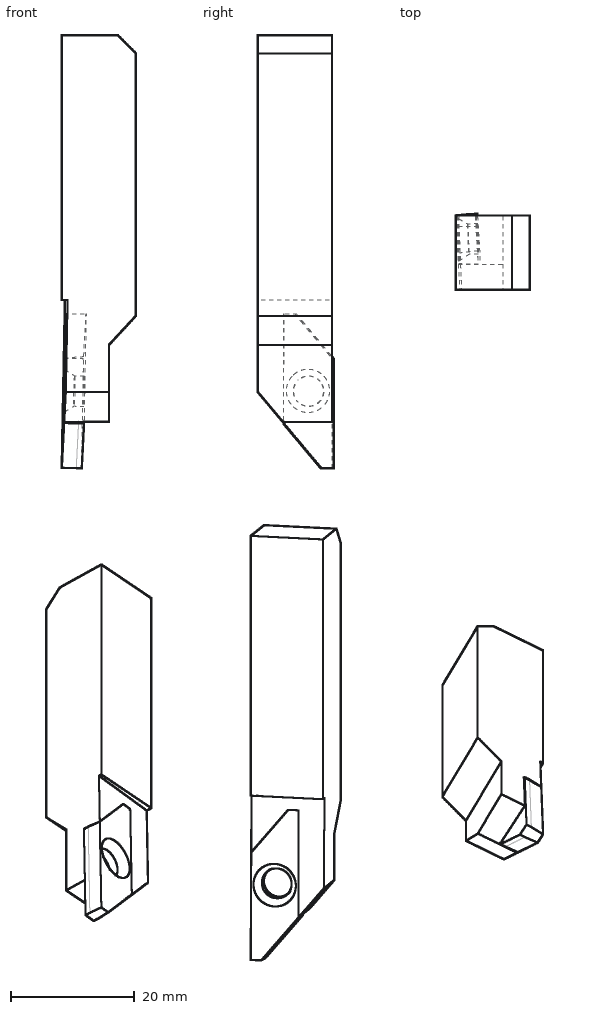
import cadquery as cq
import math

shank_size = 12.05
total_length = 70.0
top_chamfer = 2.95
head_width = 7.7
shoulder_top = 24.6
shoulder_bottom = 19.95
head_bottom = 7.5
end_slope_width = 4.05
step_height = 27.15
diagonal_angle = 50.0
diagonal_slope = math.tan(math.radians(diagonal_angle))

yaw_angle = 2.2
pitch_angle = 1.1
face_offset = 0.39

insert_half_width = 3.9
insert_half_height = 12.45
blunt_width = 1.75
insert_thickness = 3.2
flare_depth = 2.3
flare = 0.15
flare_end_gap = 0.9
insert_overhang = 0.015
insert_tip_height = 0.05
insert_center_y = shank_size - insert_half_width + insert_overhang
insert_center_z = insert_half_height + insert_tip_height

hole_diameter = 4.9
countersink_diameter = 7.0
countersink_depth = 1.7

yaw_slope = math.tan(math.radians(yaw_angle))
pitch_slope = math.tan(math.radians(pitch_angle))
face = cq.Plane(
    origin=(face_offset, insert_center_y, insert_center_z),
    xDir=(-yaw_slope, 1, 0),
    normal=(1, yaw_slope, -pitch_slope),
)


def insert_outline(growth):
    """Points of the insert outline, with flanks and diagonals moved out by growth."""
    half_width = insert_half_width + growth
    diagonal_rise = insert_half_height + (blunt_width - insert_half_width) * diagonal_slope
    diagonal_rise += growth / math.cos(math.radians(diagonal_angle))
    side_end = diagonal_rise - half_width * diagonal_slope
    blunt_end = (diagonal_rise - insert_half_height) / diagonal_slope
    upper_half = [
        (half_width, side_end),
        (blunt_end, insert_half_height),
        (-half_width, insert_half_height),
    ]
    return upper_half + [(-x, -y) for x, y in upper_half]


def make_insert_blank():
    """Insert without its hole: flanks flare out to a straight land, but not next to the blunt ends."""
    flared = (
        cq.Workplane(face)
        .polyline(insert_outline(0)).close()
        .workplane(offset=flare_depth)
        .polyline(insert_outline(flare)).close()
        .loft(ruled=True)
    )
    land = (
        cq.Workplane(face)
        .workplane(offset=flare_depth)
        .polyline(insert_outline(flare)).close()
        .extrude(insert_thickness - flare_depth)
    )
    end_notches = (
        cq.Workplane(face)
        .pushPoints([
            (-insert_half_width - flare, -insert_half_height),
            (insert_half_width + flare, insert_half_height),
        ])
        .rect(2 * flare, 2 * flare_end_gap)
        .extrude(insert_thickness)
    )
    return flared.union(land).cut(end_notches)


def make_insert(blank):
    """Insert with the countersunk hole through its centre."""
    hole = cq.Workplane(face).circle(hole_diameter / 2).extrude(insert_thickness)
    countersink = (
        cq.Workplane(face)
        .circle(countersink_diameter / 2)
        .workplane(offset=countersink_depth)
        .circle(hole_diameter / 2)
        .loft()
    )
    return blank.cut(hole).cut(countersink)


def make_head_relief():
    """Material in front of the tilted clamping face, below the step."""
    slab_size = 3 * total_length
    slab = cq.Workplane(face).rect(slab_size, slab_size).extrude(-shank_size)
    below_step = cq.Workplane("XY").rect(slab_size, slab_size).extrude(step_height)
    return slab.intersect(below_step)


def make_holder(insert_blank):
    """Shank and head, with the clamping face, the sloped lower end and the insert pocket."""
    body = (
        cq.Workplane("XZ")
        .polyline([
            (0, head_bottom),
            (head_width, head_bottom),
            (head_width, shoulder_bottom),
            (shank_size, shoulder_top),
            (shank_size, total_length - top_chamfer),
            (shank_size - top_chamfer, total_length),
            (0, total_length),
        ]).close()
        .extrude(-shank_size)
    )
    sloped_end = (
        cq.Workplane("YZ")
        .polyline([
            (0, head_bottom),
            (end_slope_width, head_bottom),
            (0, head_bottom + end_slope_width * diagonal_slope),
        ]).close()
        .extrude(shank_size)
    )
    return body.cut(sloped_end).cut(make_head_relief()).cut(insert_blank)


insert_blank = make_insert_blank()
insert = make_insert(insert_blank)
holder = make_holder(insert_blank)

result = cq.Compound.makeCompound([holder.val(), insert.val()])